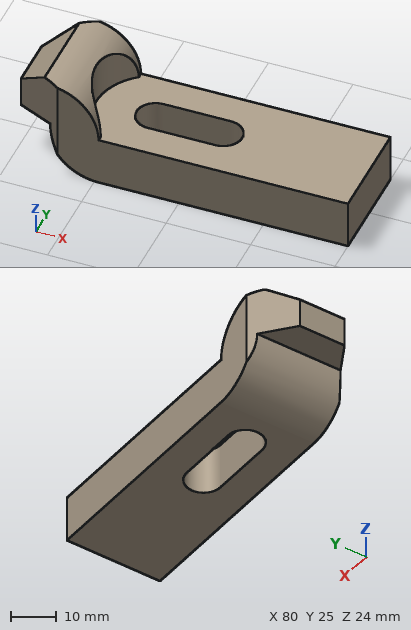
import cadquery as cq
import math

length = 80.0
width = 25.0
thickness = 12.0
height = 2 * thickness

upper_bend_x = 9.0
lower_bend_x = upper_bend_x + thickness

nose_bottom_z = 10.7
nose_top_z = 18.2
nose_crest_x = 7.3
nose_tip_width = 12.0
taper_angle = 30.0

slot_start_x = 25.0
slot_length = 25.0
slot_width = 9.0
clearance_radius = 14.0


def gooseneck_body():
    """Side profile extruded symmetrically across the width."""
    nose_crest_z = thickness + math.sqrt(thickness**2 - (upper_bend_x - nose_crest_x) ** 2)
    diagonal = thickness * math.sqrt(0.5)
    upper_bend_mid = (upper_bend_x + diagonal, thickness + diagonal)
    lower_bend_mid = (lower_bend_x - diagonal, thickness - diagonal)
    return (
        cq.Workplane("XZ")
        .moveTo(0, nose_bottom_z)
        .lineTo(0, nose_top_z)
        .lineTo(nose_crest_x, nose_crest_z)
        .threePointArc(upper_bend_mid, (lower_bend_x, thickness))
        .lineTo(length, thickness)
        .lineTo(length, 0)
        .lineTo(lower_bend_x, 0)
        .threePointArc(lower_bend_mid, (upper_bend_x, thickness))
        .close()
        .extrude(width / 2, both=True)
    )


def tapered_plan():
    """Full-height plan outline that narrows toward the nose tip."""
    half_width = width / 2
    half_tip = nose_tip_width / 2
    taper_length = (half_width - half_tip) / math.tan(math.radians(taper_angle))
    outline = [
        (0, -half_tip),
        (taper_length, -half_width),
        (length, -half_width),
        (length, half_width),
        (taper_length, half_width),
        (0, half_tip),
    ]
    return cq.Workplane("XY").polyline(outline).close().extrude(height)


def bolt_slot():
    """Through slot with rounded ends."""
    slot_center_x = slot_start_x + slot_length / 2
    return (
        cq.Workplane("XY")
        .center(slot_center_x, 0)
        .slot2D(slot_length, slot_width)
        .extrude(height)
    )


def round_clearance():
    """Cylinder above the bar, concentric with the slot end nearest the nose."""
    slot_end_center_x = slot_start_x + slot_width / 2
    return (
        cq.Workplane("XY", origin=(slot_end_center_x, 0, thickness))
        .circle(clearance_radius)
        .extrude(height - thickness)
    )


result = gooseneck_body().intersect(tapered_plan()).cut(bolt_slot()).cut(round_clearance())